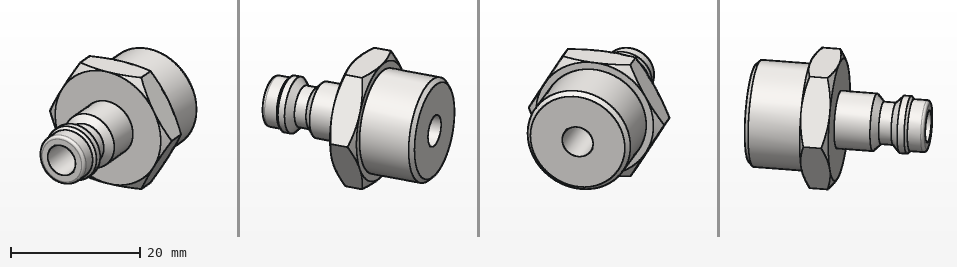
import cadquery as cq
import math

total_length = 27.5
thread_length = 9.0
hex_thickness = 4.5
nipple_length = total_length - thread_length - hex_thickness
tip_length = 2.55
collar_chamfer = 0.45
collar_width = 1.1
cone_length = 1.15
neck_length = 1.95

across_flats = 19.0
thread_diameter = 16.66
body_diameter = 9.0
neck_diameter = 6.63
tip_diameter = 8.1
bore_diameter = 5.0

thread_chamfer = 0.7
tip_fillet = 0.5
hex_chamfer_angle = math.radians(30)

collar_start = tip_length + collar_chamfer
collar_end = collar_start + collar_width
neck_start = collar_end + cone_length
neck_end = neck_start + neck_length
body_start = neck_end + cone_length
hex_end = nipple_length + hex_thickness


def revolve_about_y(profile):
    """Revolve a closed (radius, Y) outline about the Y axis."""
    return profile.close().revolve(360, (0, 0, 0), (0, 1, 0))


def make_nipple():
    """Plug nipple with a rounded tip, a collar and a locking groove."""
    tip_radius = tip_diameter / 2
    body_radius = body_diameter / 2
    neck_radius = neck_diameter / 2
    arc_offset = tip_fillet * (1 - math.sqrt(0.5))
    profile = (
        cq.Workplane("XY")
        .lineTo(tip_radius - tip_fillet, 0)
        .threePointArc((tip_radius - arc_offset, arc_offset), (tip_radius, tip_fillet))
        .lineTo(tip_radius, tip_length)
        .lineTo(body_radius, collar_start)
        .lineTo(body_radius, collar_end)
        .lineTo(neck_radius, neck_start)
        .lineTo(neck_radius, neck_end)
        .lineTo(body_radius, body_start)
        .lineTo(body_radius, nipple_length)
        .lineTo(0, nipple_length)
    )
    return revolve_about_y(profile)


def make_hexagon():
    """Hexagon with corners on the X axis and both faces chamfered conically."""
    face_radius = across_flats / 2
    corner_radius = face_radius / math.cos(math.pi / 6)
    cone_radius = corner_radius + 0.28
    chamfer_depth = (cone_radius - face_radius) * math.tan(hex_chamfer_angle)
    prism = (
        cq.Workplane("XZ", origin=(0, hex_end, 0))
        .polygon(6, 2 * corner_radius)
        .extrude(hex_thickness)
    )
    envelope = (
        cq.Workplane("XY")
        .moveTo(0, nipple_length)
        .lineTo(face_radius, nipple_length)
        .lineTo(cone_radius, nipple_length + chamfer_depth)
        .lineTo(cone_radius, hex_end - chamfer_depth)
        .lineTo(face_radius, hex_end)
        .lineTo(0, hex_end)
    )
    return prism.intersect(revolve_about_y(envelope))


def make_thread_stub():
    """Plain cylinder for the thread, chamfered at its free end."""
    return (
        cq.Workplane("XZ", origin=(0, total_length, 0))
        .circle(thread_diameter / 2)
        .extrude(thread_length)
        .faces(">Y")
        .chamfer(thread_chamfer)
    )


def make_bore():
    """Through bore along the whole part."""
    return (
        cq.Workplane("XZ", origin=(0, total_length, 0))
        .circle(bore_diameter / 2)
        .extrude(total_length)
    )


result = make_nipple().union(make_hexagon()).union(make_thread_stub()).cut(make_bore())